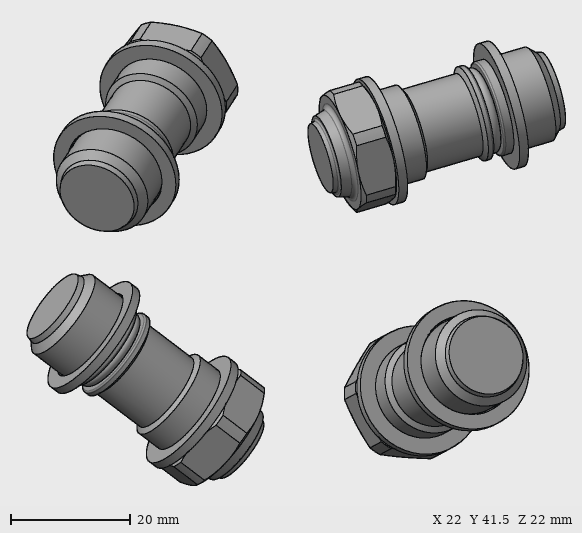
import cadquery as cq
import math


total_length = 41.5
taper = math.radians(15)
bevel = math.radians(30)
body_radius = 8.25
nose_length = 1.05
nose_chamfer = 1.3
nose_root_radius = body_radius - nose_chamfer
nose_end_radius = nose_root_radius - nose_length * math.tan(taper)

washer_radius = 11.0
washer_thickness = 1.6
front_washer_y = 8.3
rear_washer_y = 30.0
clearance_radius = 8.5
clearance_depth = washer_thickness / 2

groove_start = 11.65
groove_end = 13.4
groove_root_radius = 6.6
groove_edge_fillet = 0.3
oring_section_radius = (groove_end - groove_start) / 2

waist_radius = 7.25
waist_start = 15.05
waist_end = 25.0
waist_bevel = (body_radius - waist_radius) * math.tan(bevel)

nut_across_flats = 20.0
nut_corner_radius = 11.0
nut_start = rear_washer_y + washer_thickness
nut_end = 38.0
nut_bevel = (nut_corner_radius - nut_across_flats / 2) * math.tan(bevel)

neck_end = 40.45
neck_end_radius = 7.1
neck_fillet = 1.0
tip_end_radius = 6.05
tip_fillet = 0.4


def revolve(profile):
    """Revolve a closed (radius, y) profile about the Y axis."""
    return profile.close().revolve(360, (0, 0, 0), (0, 1, 0))


def ring(y, length, outer_radius, inner_radius):
    """Plain ring along +Y, starting at the given y."""
    sketch = cq.Workplane("XZ", origin=(0, y, 0)).circle(outer_radius).circle(inner_radius)
    return sketch.extrude(-length)


def disc(y, length, radius):
    """Plain disc along +Y, starting at the given y."""
    return cq.Workplane("XZ", origin=(0, y, 0)).circle(radius).extrude(-length)


def make_body():
    """Waisted core with an O-ring filling its groove, from the plug end up to the nut."""
    edge = groove_edge_fillet
    oring_crest = (groove_root_radius + oring_section_radius, (groove_start + groove_end) / 2)
    arc_inset = edge * (1 - math.sqrt(0.5))
    profile = (
        cq.Workplane("XY")
        .lineTo(nose_end_radius, 0)
        .lineTo(nose_root_radius, nose_length)
        .lineTo(body_radius, nose_length + nose_chamfer)
        .lineTo(body_radius, groove_start - edge)
        .threePointArc(
            (body_radius - arc_inset, groove_start - arc_inset),
            (body_radius - edge, groove_start),
        )
        .lineTo(groove_root_radius, groove_start)
        .threePointArc(oring_crest, (groove_root_radius, groove_end))
        .lineTo(body_radius - edge, groove_end)
        .threePointArc(
            (body_radius - arc_inset, groove_end + arc_inset),
            (body_radius, groove_end + edge),
        )
        .lineTo(body_radius, waist_start - waist_bevel)
        .lineTo(waist_radius, waist_start)
        .lineTo(waist_radius, waist_end)
        .lineTo(body_radius, waist_end + waist_bevel)
        .lineTo(body_radius, nut_start)
        .lineTo(0, nut_start)
    )
    return revolve(profile)


def make_front_washer():
    """Washer on the plug collar, with a clearance recess around its bore."""
    washer = disc(front_washer_y, washer_thickness, washer_radius)
    return washer.cut(ring(front_washer_y, clearance_depth, clearance_radius, body_radius))


def make_nut():
    """Hexagon with flats facing +Z and -Z, trimmed by a bevelled turning."""
    corner_diameter = nut_across_flats / math.cos(math.radians(30))
    hexagon = (
        cq.Workplane("XZ", origin=(0, nut_start, 0))
        .polygon(6, corner_diameter)
        .extrude(nut_start - nut_end)
    )
    turning = revolve(
        cq.Workplane("XY")
        .moveTo(0, nut_start)
        .lineTo(nut_across_flats / 2, nut_start)
        .lineTo(nut_corner_radius, nut_start + nut_bevel)
        .lineTo(nut_corner_radius, nut_end - nut_bevel)
        .lineTo(nut_across_flats / 2, nut_end)
        .lineTo(0, nut_end)
    )
    return hexagon.intersect(turning)


def tapered_spigot(base_y, end_y, end_radius, fillet):
    """Tapered spigot standing on a flat face at base_y, with a concave root fillet."""
    centre_y = base_y + fillet
    tangent_y = centre_y - fillet * math.sin(taper)
    tangent_radius = end_radius + (end_y - tangent_y) * math.tan(taper)
    centre_radius = tangent_radius + fillet * math.cos(taper)
    middle = (taper + math.pi / 2) / 2
    arc_middle = (
        centre_radius - fillet * math.cos(middle),
        centre_y - fillet * math.sin(middle),
    )
    profile = (
        cq.Workplane("XY")
        .moveTo(0, base_y)
        .lineTo(centre_radius, base_y)
        .threePointArc(arc_middle, (tangent_radius, tangent_y))
        .lineTo(end_radius, end_y)
        .lineTo(0, end_y)
    )
    return revolve(profile)


result = (
    make_body()
    .union(make_front_washer())
    .union(disc(rear_washer_y, washer_thickness, washer_radius))
    .union(make_nut())
    .union(tapered_spigot(nut_end, neck_end, neck_end_radius, neck_fillet))
    .union(tapered_spigot(neck_end, total_length, tip_end_radius, tip_fillet))
)